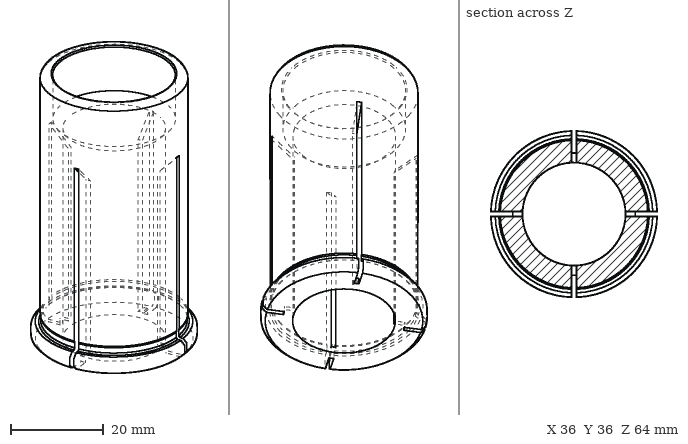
import cadquery as cq

length = 64.0
body_radius = 16.0
bore_radius = 22.2 / 2
top_bore_radius = 26.5 / 2
top_bore_floor = 53.1

rim_chamfer_height = 0.95
rim_chamfer_width = 0.5
rim_fillet = 0.65
bore_chamfer = 0.3

flange_radius = 18.0
flange_height = 4.0
flange_chamfer = 0.95
flange_fillet = 0.3

groove_depth = 0.1
groove_taper_height = 0.4
groove_top = 6.0

slot_count = 4
slot_width = 1.0
slot_top = 48.0
slot_floor = 1.5
tongue_radius = top_bore_radius
cutter_clearance = 0.65


def round_edge(solid, edge_radius, edge_height, fillet_radius):
    """Fillet the full circular edge that has the given radius and height."""
    reach = 0.005
    zone = cq.selectors.BoxSelector(
        (-edge_radius - reach, -edge_radius - reach, edge_height - reach),
        (edge_radius + reach, edge_radius + reach, edge_height + reach),
        boundingbox=True,
    )
    largest = cq.selectors.RadiusNthSelector(-1)
    return solid.edges(zone).edges("%CIRCLE").edges(largest).fillet(fillet_radius)


def make_sleeve():
    """Revolve the wall section, including the flange, groove and stepped bore."""
    groove_radius = body_radius - groove_depth
    cone_bottom = top_bore_floor - (top_bore_radius - bore_radius)
    section = [
        (bore_radius, 0),
        (flange_radius - flange_chamfer, 0),
        (flange_radius, flange_chamfer),
        (flange_radius, flange_height - flange_chamfer),
        (flange_radius - flange_chamfer, flange_height),
        (groove_radius + groove_taper_height, flange_height),
        (groove_radius, flange_height + groove_taper_height),
        (groove_radius, groove_top - groove_taper_height),
        (body_radius, groove_top),
        (body_radius, length - rim_chamfer_height),
        (body_radius - rim_chamfer_width, length),
        (top_bore_radius + bore_chamfer, length),
        (top_bore_radius, length - bore_chamfer),
        (top_bore_radius, top_bore_floor),
        (bore_radius, cone_bottom),
    ]
    sleeve = cq.Workplane("XZ").polyline(section).close().revolve(360, (0, 0), (0, 1))
    sleeve = round_edge(sleeve, flange_radius, flange_chamfer, flange_fillet)
    sleeve = round_edge(sleeve, flange_radius, flange_height - flange_chamfer, flange_fillet)
    return round_edge(sleeve, body_radius - rim_chamfer_width, length, rim_fillet)


def make_slot_cutter():
    """Slot on the +X side: 45 degree upper end, and a tongue left at the foot of the wall."""
    inner = bore_radius - cutter_clearance
    outer = flange_radius + cutter_clearance
    outline = [
        (inner, slot_floor),
        (tongue_radius, slot_floor),
        (tongue_radius, 0),
        (outer, 0),
        (outer, slot_top + outer - body_radius),
        (inner, slot_top + inner - body_radius),
    ]
    return cq.Workplane("XZ").polyline(outline).close().extrude(slot_width / 2, both=True)


result = make_sleeve()
slot_cutter = make_slot_cutter()
for index in range(slot_count):
    angle = index * 360 / slot_count
    result = result.cut(slot_cutter.rotate((0, 0, 0), (0, 0, 1), angle))